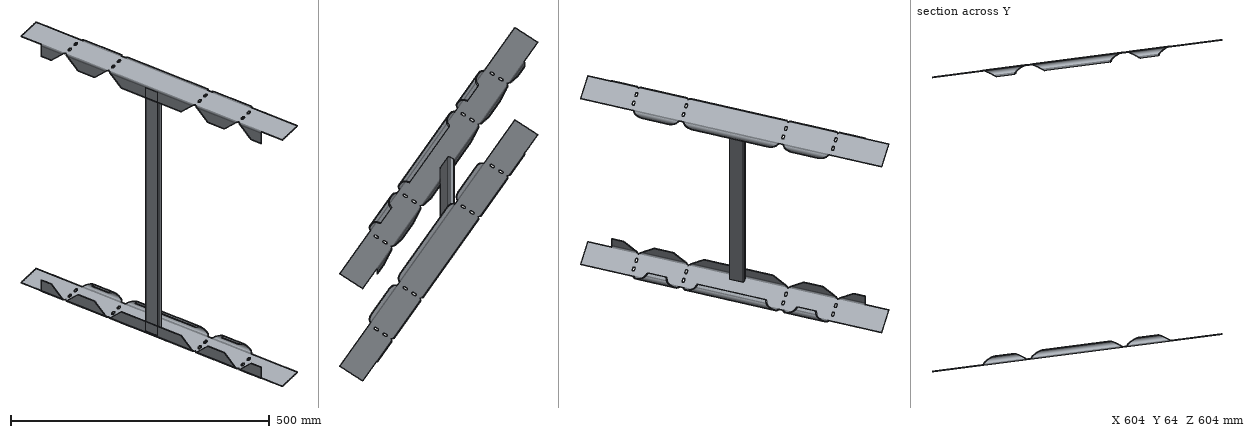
import cadquery as cq
import math

LENGTH = 604.0
HEIGHT = 604.0
DEPTH = 64.0

SHEET = 1.5
BEND_RADIUS = 2.5
HOOK_RADIUS = 8.0
ROLL_ANGLE = 165.0
LIP_LENGTH = 7.0
FLANGE_HEIGHT = 28.5
FLANGE_SPAN = 509.0
PLATE_BACK = DEPTH - HOOK_RADIUS

OUTER_STATION = 200.0
INNER_STATION = OUTER_STATION / 2
STATIONS = [-OUTER_STATION, -INNER_STATION, INNER_STATION, OUTER_STATION]
FLANGE_GAP_HALF_WIDTH = 2.5
HOOK_GAP_HALF_WIDTH = 3.0
HOOK_CORNER_TRIM = 6.5
RELIEF_HALF_WIDTH = 3.5
RELIEF_DEPTH = 5.0

SLOT_WIDTH = 4.0
SLOT_LENGTH = 9.0
SLOT_CENTRES_Y = [19.5, 40.0]

POST_WIDTH = 30.0
POST_DEPTH = 15.0
POST_END_GAP = 4.55
POST_FACE_WIDTH = 27.0
POST_SIDE_DEPTH = 8.5

TOP = HEIGHT / 2


def rail_plate():
    """Flat strip of the upper rail, with its slots."""
    plate = cq.Workplane("XY").box(
        LENGTH, PLATE_BACK - BEND_RADIUS, SHEET, centered=(True, False, False)
    ).translate((0, BEND_RADIUS, TOP - SHEET))
    slots = (
        cq.Workplane("XY", origin=(0, 0, TOP - SHEET))
        .pushPoints([(x, y) for x in STATIONS for y in SLOT_CENTRES_Y])
        .slot2D(SLOT_LENGTH, SLOT_WIDTH, angle=90)
        .extrude(SHEET)
    )
    return plate.cut(slots)


def front_flange():
    """Flange bent down along the front edge, parted into tabs by V gaps."""
    diagonal = math.sqrt(0.5)
    inner_radius = BEND_RADIUS - SHEET
    centre_z = TOP - BEND_RADIUS
    bottom = TOP - FLANGE_HEIGHT
    flange = (
        cq.Workplane("YZ", origin=(-FLANGE_SPAN / 2, 0, 0))
        .moveTo(BEND_RADIUS, TOP)
        .threePointArc(
            (BEND_RADIUS * (1 - diagonal), centre_z + BEND_RADIUS * diagonal),
            (0, centre_z),
        )
        .lineTo(0, bottom)
        .lineTo(SHEET, bottom)
        .lineTo(SHEET, centre_z)
        .threePointArc(
            (BEND_RADIUS - inner_radius * diagonal, centre_z + inner_radius * diagonal),
            (BEND_RADIUS, TOP - SHEET),
        )
        .close()
        .extrude(FLANGE_SPAN)
    )
    gap_bottom_half_width = FLANGE_GAP_HALF_WIDTH + FLANGE_HEIGHT
    for x in STATIONS:
        gap = (
            cq.Workplane("XZ")
            .polyline([
                (x - FLANGE_GAP_HALF_WIDTH, TOP),
                (x + FLANGE_GAP_HALF_WIDTH, TOP),
                (x + gap_bottom_half_width, bottom),
                (x - gap_bottom_half_width, bottom),
            ])
            .close()
            .extrude(-BEND_RADIUS)
        )
        flange = flange.cut(gap)
    return flange


def relief_notches():
    """V reliefs that carry the flange gaps a little way into the plate."""
    notches = cq.Workplane("XY")
    for x in STATIONS:
        notch = (
            cq.Workplane("XY", origin=(0, 0, TOP - BEND_RADIUS))
            .polyline([(x - RELIEF_HALF_WIDTH, 0), (x + RELIEF_HALF_WIDTH, 0), (x, RELIEF_DEPTH)])
            .close()
            .extrude(BEND_RADIUS)
        )
        notches = notches.add(notch)
    return notches


def roll_point(radius, angle):
    """(y, z) on the roll at an angle in degrees turned from its start at the plate."""
    turn = math.radians(angle)
    return PLATE_BACK + radius * math.sin(turn), TOP - HOOK_RADIUS + radius * math.cos(turn)


def lip_point(radius):
    """(y, z) at the end of the lip, which runs on tangent from the end of the roll."""
    turn = math.radians(ROLL_ANGLE)
    y, z = roll_point(radius, ROLL_ANGLE)
    return y + LIP_LENGTH * math.cos(turn), z - LIP_LENGTH * math.sin(turn)


def hook_tab(start_x, end_x):
    """One rolled tab on the rear edge, narrowing along its roll to the lip."""
    inner_radius = HOOK_RADIUS - SHEET
    rolled = (
        cq.Workplane("YZ", origin=(start_x, 0, 0))
        .moveTo(*roll_point(HOOK_RADIUS, 0))
        .threePointArc(
            roll_point(HOOK_RADIUS, ROLL_ANGLE / 2),
            roll_point(HOOK_RADIUS, ROLL_ANGLE),
        )
        .lineTo(*lip_point(HOOK_RADIUS))
        .lineTo(*lip_point(inner_radius))
        .lineTo(*roll_point(inner_radius, ROLL_ANGLE))
        .threePointArc(
            roll_point(inner_radius, ROLL_ANGLE / 2),
            roll_point(inner_radius, 0),
        )
        .close()
        .extrude(end_x - start_x)
    )
    lip_y = lip_point(inner_radius)[0]
    lip_bottom = lip_point(HOOK_RADIUS)[1]
    plan = (
        cq.Workplane("XY", origin=(0, 0, lip_bottom))
        .polyline([
            (start_x, lip_y),
            (end_x, lip_y),
            (end_x, PLATE_BACK),
            (end_x - HOOK_CORNER_TRIM, DEPTH),
            (start_x + HOOK_CORNER_TRIM, DEPTH),
            (start_x, PLATE_BACK),
        ])
        .close()
        .extrude(TOP - lip_bottom)
    )
    taper = HOOK_RADIUS * math.radians(ROLL_ANGLE) + LIP_LENGTH
    elevation = (
        cq.Workplane("XZ", origin=(0, lip_y, 0))
        .polyline([
            (start_x, TOP),
            (end_x, TOP),
            (end_x - taper, lip_bottom),
            (start_x + taper, lip_bottom),
        ])
        .close()
        .extrude(lip_y - DEPTH)
    )
    return rolled.intersect(plan).intersect(elevation)


def upper_rail():
    """Slotted plate with the front flange tabs and the rolled rear tabs."""
    rail = rail_plate().union(front_flange()).cut(relief_notches())
    for left_station, right_station in zip(STATIONS, STATIONS[1:]):
        rail = rail.union(hook_tab(left_station + HOOK_GAP_HALF_WIDTH, right_station - HOOK_GAP_HALF_WIDTH))
    return rail


def upright_post():
    """Bevelled bar held between the two rails, against the flanges' inner faces."""
    half_width = POST_WIDTH / 2
    half_face = POST_FACE_WIDTH / 2
    half_depth = POST_DEPTH / 2
    half_side = POST_SIDE_DEPTH / 2
    post_height = HEIGHT - 2 * POST_END_GAP
    return (
        cq.Workplane("XY", origin=(0, SHEET + half_depth, -post_height / 2))
        .polyline([
            (-half_face, -half_depth),
            (half_face, -half_depth),
            (half_width, -half_side),
            (half_width, half_side),
            (half_face, half_depth),
            (-half_face, half_depth),
            (-half_width, half_side),
            (-half_width, -half_side),
        ])
        .close()
        .extrude(post_height)
    )


top_rail = upper_rail()
bottom_rail = top_rail.mirror("XY")
post = upright_post()

result = cq.Compound.makeCompound([top_rail.val(), bottom_rail.val(), post.val()])